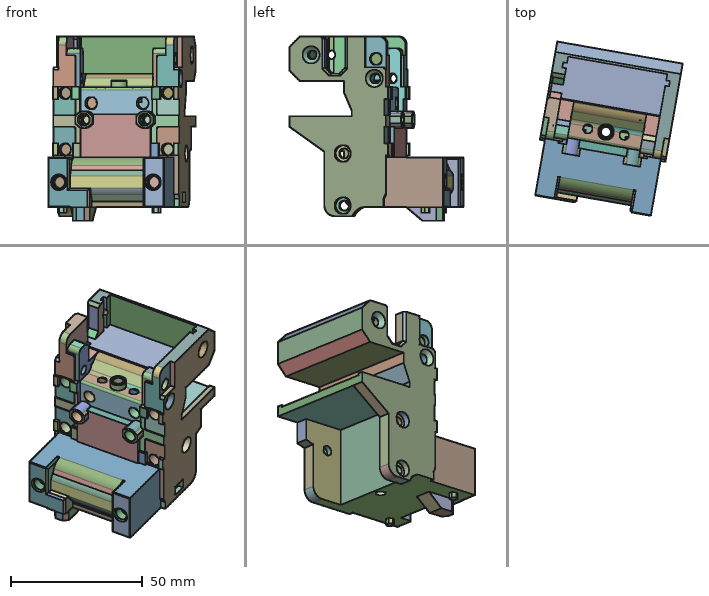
import cadquery as cq
import math

TURN_ANGLE = -10

half_width = 24.2
plate_inner = 19.1
cheek_inner = 14
strip_edge = 15.7
top_z = 70
base_z = 5.2
foot_z = 1.7
floor_z = 55.85
ledge_z = 50.6
step_z = 40.4
shelf_z = 39.75
shelf_under_z = 35.7
arm_under_z = 53.0
cheek_top_z = 65.45
front_y = -37.1
wall_back_y = -27.3
ledge_face_y = -35.35
panel_y = -38.5
column_back_y = -13.45
stub_back_y = -9.8
back_bevel = 4.05

SIDES = (-1, 1)


def box(x0, x1, y0, y1, z0, z1):
    """Block between two corners given in any order."""
    size = (abs(x1 - x0), abs(y1 - y0), abs(z1 - z0))
    middle = ((x0 + x1) / 2, (y0 + y1) / 2, (z0 + z1) / 2)
    return cq.Workplane("XY").box(*size).translate(middle)


def extrude_x(outline, x0, x1):
    """Closed (y, z) sketch swept from x0 to x1."""
    start, end = min(x0, x1), max(x0, x1)
    return outline(cq.Workplane("YZ", origin=(start, 0, 0))).close().extrude(end - start)


def polygon_x(points, x0, x1):
    """Closed (y, z) polygon swept from x0 to x1."""
    return extrude_x(lambda plane: plane.polyline(points), x0, x1)


def cylinder(start, direction, diameter, length):
    """Round bar from start along direction."""
    solid = cq.Solid.makeCylinder(diameter / 2, length, cq.Vector(*start), cq.Vector(*direction))
    return cq.Workplane(solid)


def cone(start, direction, big, small, depth):
    """Truncated cone that narrows from the big to the small diameter along direction."""
    solid = cq.Solid.makeCone(big / 2, small / 2, depth, cq.Vector(*start), cq.Vector(*direction))
    return cq.Workplane(solid)


top_round = 3.1
diagonal = math.sqrt(0.5)
gap_y = -21
gap_deep_y = -24.0
gap_low_z = 41.85
gap_high_z = 48.8
plate_corner = 4.2
column_top_z = 26.25


def rear_outline(plane):
    """Rear edge shared by the plates and the core: shelf, gap and overhang."""
    return (
        plane.lineTo(0, shelf_under_z)
        .lineTo(0, shelf_z)
        .lineTo(gap_deep_y, shelf_z)
        .lineTo(gap_deep_y, gap_low_z)
        .lineTo(gap_y, gap_high_z)
        .lineTo(gap_y, arm_under_z)
        .lineTo(-back_bevel, arm_under_z)
        .lineTo(0, arm_under_z + back_bevel)
    )


def plate_outline(plane, has_foot):
    """Plate outline; the foot reaches below the body."""
    bottom = foot_z if has_foot else base_z
    plane = (
        plane.moveTo(0, top_z - back_bevel)
        .lineTo(-back_bevel, top_z)
        .lineTo(front_y + top_round, top_z)
        .threePointArc(
            (front_y + top_round * (1 - diagonal), top_z - top_round * (1 - diagonal)),
            (front_y, top_z - top_round),
        )
        .lineTo(front_y, base_z)
    )
    if has_foot:
        plane = plane.lineTo(-28, base_z).threePointArc((-25.75, 3.8), (-24.2, bottom))
    plane = (
        plane.lineTo(column_back_y - plate_corner, bottom)
        .threePointArc(
            (column_back_y - plate_corner * (1 - diagonal), bottom + plate_corner * (1 - diagonal)),
            (column_back_y, bottom + plate_corner),
        )
        .lineTo(column_back_y, column_top_z)
    )
    if not has_foot:
        plane = plane.lineTo(stub_back_y, column_top_z + 1.05).lineTo(stub_back_y, shelf_under_z)
    return rear_outline(plane)


def side_plate(side):
    return extrude_x(
        lambda plane: plate_outline(plane, side < 0), side * plate_inner, side * half_width
    )


tray_back_y = -5.0
slope_top_y = -21.7
slope_foot_y = -29.75


def core_outline(plane):
    plane = (
        plane.moveTo(0, top_z - back_bevel)
        .lineTo(-back_bevel, top_z)
        .lineTo(tray_back_y, top_z)
        .lineTo(tray_back_y, floor_z)
        .lineTo(slope_top_y, floor_z)
        .tangentArcPoint((-25.0, 54.4), relative=False)
        .lineTo(-28, 51.3)
        .tangentArcPoint((slope_foot_y, ledge_z), relative=False)
        .lineTo(-34.45, ledge_z)
        .threePointArc((-35.1, 50.3), (ledge_face_y, 49.7))
        .lineTo(ledge_face_y, base_z)
        .lineTo(wall_back_y, base_z)
        .lineTo(wall_back_y, shelf_under_z)
    )
    return rear_outline(plane)


cheek_start_y = -21
cheek_back_y = -29.05
cheek_front_y = -36.2
cheek_round = 1.8
cheek_bevel = 2.1
tab_rows = ((24.85, 29.4), (46.2, 50.8))
strip_top_z = tab_rows[1][1]
facing_top_z = 62.85
pad_round = 0.7


def cheek_outline(plane):
    return (
        plane.moveTo(cheek_start_y, floor_z)
        .lineTo(cheek_back_y, floor_z)
        .lineTo(cheek_back_y, cheek_top_z - cheek_bevel)
        .lineTo(cheek_back_y - cheek_bevel, cheek_top_z)
        .lineTo(cheek_front_y + cheek_round, cheek_top_z)
        .threePointArc(
            (cheek_front_y + cheek_round * (1 - diagonal), cheek_top_z - cheek_round * (1 - diagonal)),
            (cheek_front_y, cheek_top_z - cheek_round),
        )
        .lineTo(cheek_front_y, strip_top_z)
        .lineTo(front_y, strip_top_z)
        .lineTo(front_y, base_z)
        .lineTo(wall_back_y, base_z)
        .lineTo(wall_back_y, arm_under_z)
        .lineTo(cheek_start_y, arm_under_z)
    )


def arm_facing(side):
    """Front face of the arm above the tabs, with one rounded corner."""
    facing = box(strip_edge, plate_inner, ledge_face_y, front_y, strip_top_z, facing_top_z)
    facing = facing.edges("|Y and <X and >Z").fillet(pad_round)
    return facing if side > 0 else facing.mirror("YZ")


result = extrude_x(core_outline, -plate_inner, plate_inner)
panel_half = 13.5
strip_low_z = 38.3
result = result.union(box(-panel_half, panel_half, ledge_face_y, panel_y, base_z, step_z))
result = result.union(box(-plate_inner, plate_inner, ledge_face_y, front_y, base_z, strip_low_z))
for side in SIDES:
    result = result.union(side_plate(side))
    result = result.union(extrude_x(cheek_outline, side * cheek_inner, side * plate_inner))
    result = result.union(arm_facing(side))

pad_y = -36.7
tab_y = -37.95
pad_rows = ((29.4, 35.6), (40.0, 46.2))
tab_outer_start = 22.3
tab_inner_spans = ((panel_half, 16.5), (cheek_inner, 17.1))


def pad_cutter(side, z0, z1, rounded):
    """Pad recess, its inner corner rounded at the end picked by the selector."""
    cutter = box(strip_edge, half_width + 0.7, front_y - 0.7, pad_y, z0, z1)
    cutter = cutter.edges("|Y and <X").edges(rounded).fillet(pad_round)
    return cutter if side > 0 else cutter.mirror("YZ")


for side in SIDES:
    result = result.cut(pad_cutter(side, *pad_rows[0], ">Z"))
    result = result.cut(pad_cutter(side, *pad_rows[1], "<Z"))
    for (z0, z1), (tab_start, tab_end) in zip(tab_rows, tab_inner_spans):
        result = result.cut(box(side * tab_end, side * tab_outer_start, front_y - 0.7, pad_y, z0, z1))
        for x0, x1 in ((tab_start, tab_end), (tab_outer_start, half_width)):
            result = result.union(box(side * x0, side * x1, ledge_face_y, tab_y, z0, z1))
    low_start, low_end = tab_inner_spans[0]
    result = result.union(box(side * low_start, side * low_end, ledge_face_y, tab_y, base_z, tab_rows[0][0]))

block_half = 22.3
block_y = -59.1
block_top_z = 24.1
post_inner = 14.2
post_bevel = 0.8
post_hole_x = 18.2
roll_back_y = -50.5
roll_front_y = -56.5
roll_lip_y = -53.5
post_foot_end = -6.45
post_foot_z = 12.3


def roll_outline(plane):
    """Rounded roll between the posts, over a straight lip."""
    return (
        plane.moveTo(roll_back_y + 0.7, block_top_z)
        .lineTo(roll_back_y, block_top_z)
        .threePointArc((-52.8, 22.95), (-54.3, 21.1))
        .lineTo(-55.15, 19.2)
        .threePointArc((-56, 18.2), (roll_front_y, 17.0))
        .lineTo(roll_front_y, 12.45)
        .threePointArc((-56, 11.2), (-55.2, 10.15))
        .lineTo(-52.9, 7.35)
        .lineTo(roll_lip_y, 7.15)
        .lineTo(roll_lip_y, base_z)
        .lineTo(roll_back_y + 0.7, base_z)
    )


block = box(-block_half, block_half, ledge_face_y, block_y, base_z, block_top_z)
block = block.edges("<Y").chamfer(0.3)
block = block.cut(box(-post_inner, post_inner, roll_back_y, block_y - 0.7, base_z - 0.7, block_top_z + 0.7))
block = block.union(box(-post_inner, post_foot_end, roll_back_y, block_y, base_z, post_foot_z))
recess_rims = cq.selectors.BoxSelector(
    (-post_inner - 0.1, roll_back_y - 0.7, base_z + 0.7), (post_inner + 0.1, block_y - 0.7, block_top_z + 0.7)
)
block = block.faces("<Y").edges(recess_rims).chamfer(post_bevel)
block = block.faces(">Z").edges(recess_rims).chamfer(post_bevel)
block = block.union(extrude_x(roll_outline, -post_inner, post_inner))
result = result.union(block)

relief_y = -36.25
relief_top_z = 10.15
for side in SIDES:
    relief = [
        (front_y - 0.7, relief_top_z + 0.7), (front_y, relief_top_z), (relief_y, relief_top_z - 1.75),
        (relief_y, base_z - 0.7), (front_y - 0.7, base_z - 0.7),
    ]
    result = result.cut(polygon_x(relief, side * block_half, side * (half_width + 0.7)))

wedge_plan = [(-13.6, -42.7), (-13.6, -54.75), (-11.9, -56.9), (-8.7, -56.9), (-7, -55.3), (-6.6, -42.7)]
wedge = cq.Workplane("XY").polyline(wedge_plan).close().extrude(base_z + 0.7)
wedge_side = [(-43.2, base_z), (-42.7, base_z + 1.4), (-58.8, base_z + 1.4), (-58.8, 0), (-49.4, 0)]
wedge = wedge.intersect(polygon_x(wedge_side, -17.5, 0))
result = result.union(wedge)
pin_z = 3.0
pin_y = -51.45
pin_size = 3.3
for side in SIDES:
    pin_base = cq.Workplane("XY", origin=(side * post_hole_x, pin_y, pin_z))
    pin = pin_base.polygon(6, pin_size).extrude(base_z + 0.7 - pin_z)
    result = result.union(pin)

shelf_half = 22.1
shelf_sink = 0.8
result = result.cut(box(-shelf_half, shelf_half, gap_deep_y, 0.7, shelf_z - shelf_sink, shelf_z + 0.7))

groove_x = 20.6
groove_span_y = (-7.4, -9.45)
recess_z = 58.4
recess_back_y = -29.1
recess_floor_x = 22.25
arm_recess = [
    (recess_back_y, top_z + 0.7), (recess_back_y, recess_z), (-36.05, recess_z), (front_y, recess_z - 1.05),
    (front_y - 0.7, recess_z - 1.05), (front_y - 0.7, top_z + 0.7),
]
for side in SIDES:
    result = result.cut(box(side * (plate_inner - 0.2), side * groove_x, *groove_span_y, floor_z, top_z + 0.7))
    result = result.cut(polygon_x(arm_recess, side * recess_floor_x, side * (half_width + 0.7)))

notch_back_y = -12.75
notch_front_y = -22.25
notch_z = 55.0
notch_bevel = 2.65
notch_lip = 0.85


def notch_section(inset, x):
    """Notch outline, shrunk by inset, on the plane at x."""
    y0 = notch_back_y - inset
    y1 = notch_front_y + inset
    z0 = notch_z + inset
    bevel = notch_bevel - inset * 0.4
    points = [
        (y0, top_z + 0.7), (y0, z0 + bevel), (y0 - bevel, z0),
        (y1 + bevel, z0), (y1, z0 + bevel), (y1, top_z + 0.7),
    ]
    return cq.Wire.makePolygon([cq.Vector(x, y, z) for y, z in points], close=True)


notch_lip_x = -half_width + notch_lip
notch_inner = notch_section(notch_lip, notch_lip_x)
notch_mouth = cq.Solid.makeLoft([notch_section(0, -half_width), notch_inner], True)
notch_reach = cq.Vector(half_width - notch_lip - plate_inner + 0.7, 0, 0)
notch_throat = cq.Solid.extrudeLinear(notch_inner, [], notch_reach)
result = result.cut(cq.Workplane(notch_mouth)).cut(cq.Workplane(notch_throat))

notch_top_bevel = [(-11.9, top_z + 0.7), (-11.9, top_z), (-13.65, top_z - 1.05), (-14, top_z + 0.7)]
result = result.cut(polygon_x(notch_top_bevel, -half_width - 0.7, -plate_inner))

groove_front_y = -21.35
groove_depth = 0.35
groove = box(-plate_inner, plate_inner, cheek_start_y, groove_front_y, floor_z - groove_depth, floor_z + 0.7)
result = result.cut(groove)

screw_y = -30.65
ledge_hole_x = 7
ledge_hole_diameter = 3.5
ledge_hole_depth = 5.6
collar_top_z = 53.4
collar_diameter = 6.0
screw_bore = 3.8
collar = cylinder((0, screw_y, ledge_z - 2.8), (0, 0, 1), collar_diameter, collar_top_z - ledge_z + 2.8)
result = result.union(collar.faces(">Z").edges().chamfer(0.35))
result = result.cut(cylinder((0, screw_y, -0.7), (0, 0, 1), screw_bore, top_z))
result = result.cut(cone((0, screw_y, collar_top_z), (0, 0, -1), 4.6, screw_bore, 0.4))
for side in SIDES:
    ledge_hole = (side * ledge_hole_x, screw_y, ledge_z)
    result = result.cut(cylinder(ledge_hole, (0, 0, -1), ledge_hole_diameter, ledge_hole_depth))

boss_x = 11.75
boss_z = 38.35
boss_y = -41.45
boss_bore = 4.6
boss_pilot = 3.2
boss_bore_depth = 4.9
boss_pilot_depth = 8.4
boss_radius = 3.2
boss_flat_x = 3.3
boss_flat_z = 1.4
boss_arc_x = 2.2
boss_arc_z = math.sqrt(boss_radius**2 - boss_arc_x**2)
boss_section = (
    cq.Workplane("XZ")
    .moveTo(boss_arc_x, boss_arc_z)
    .threePointArc((0, boss_radius), (-boss_arc_x, boss_arc_z))
    .lineTo(-boss_flat_x, boss_flat_z)
    .lineTo(-boss_flat_x, -boss_flat_z)
    .lineTo(-boss_arc_x, -boss_arc_z)
    .threePointArc((0, -boss_radius), (boss_arc_x, -boss_arc_z))
    .lineTo(boss_flat_x, -boss_flat_z)
    .lineTo(boss_flat_x, boss_flat_z)
    .close()
)
boss = boss_section.extrude(ledge_face_y - boss_y)
for side in SIDES:
    result = result.union(boss.translate((side * boss_x, ledge_face_y, boss_z)))
for side in SIDES:
    boss_end = (side * boss_x, boss_y, boss_z)
    result = result.cut(cylinder(boss_end, (0, 1, 0), boss_bore, boss_bore_depth))
    result = result.cut(cylinder(boss_end, (0, 1, 0), boss_pilot, boss_pilot_depth))

blind_diameter = 4.6
blind_depth = 4.2
post_hole_z = 14.6
pad_hole_x = 19.75
front_holes = [(9.95, ledge_face_y, 44.65), (pad_hole_x, pad_y, 27.1), (pad_hole_x, pad_y, 48.5)]
for side in SIDES:
    for x, y, z in front_holes:
        result = result.cut(cylinder((side * x, y - 0.7, z), (0, 1, 0), blind_diameter, blind_depth + 0.7))
    post_hole = (side * post_hole_x, block_y, post_hole_z)
    result = result.cut(cone(post_hole, (0, 1, 0), 6.0, 4.9, 0.55))
    result = result.cut(cylinder(post_hole, (0, 1, 0), blind_diameter, blind_depth))

through = half_width - cheek_inner + 0.7
through_plate = half_width - plate_inner + 0.7
countersunk_holes = ((-8.4, 63, 3.3), (-32.75, 54.05, 3.8))
countersink_diameter = 6.6
countersink_depth = 2.1
recess_hole = (-33.05, 61.45)
lower_hole_y = -20.6
lower_bore = 3.8
lower_counterbore = 6.3
lower_counterbore_depth = 2.8
foot_hole_z = 5.75
upper_hole_z = 25.55
for side in SIDES:
    inward = (-side, 0, 0)
    x = side * half_width
    for y, z, diameter in countersunk_holes:
        result = result.cut(cone((x, y, z), inward, countersink_diameter, diameter, countersink_depth))
        result = result.cut(cylinder((x, y, z), inward, diameter, through))
    result = result.cut(cylinder((x, *recess_hole), inward, blind_diameter, half_width - recess_floor_x + 2.1))
    lower_rows = (foot_hole_z, upper_hole_z) if side < 0 else (upper_hole_z,)
    for z in lower_rows:
        lower_hole = (x, lower_hole_y, z)
        result = result.cut(cylinder(lower_hole, inward, lower_counterbore, lower_counterbore_depth))
        result = result.cut(cylinder(lower_hole, inward, lower_bore, through_plate))

pocket_depth = 2.1
result = result.cut(box(half_width - pocket_depth, half_width + 0.7, -23.1, -28.7, 7, 10.8))

result = result.rotate((0, 0, 0), (0, 0, 1), TURN_ANGLE)